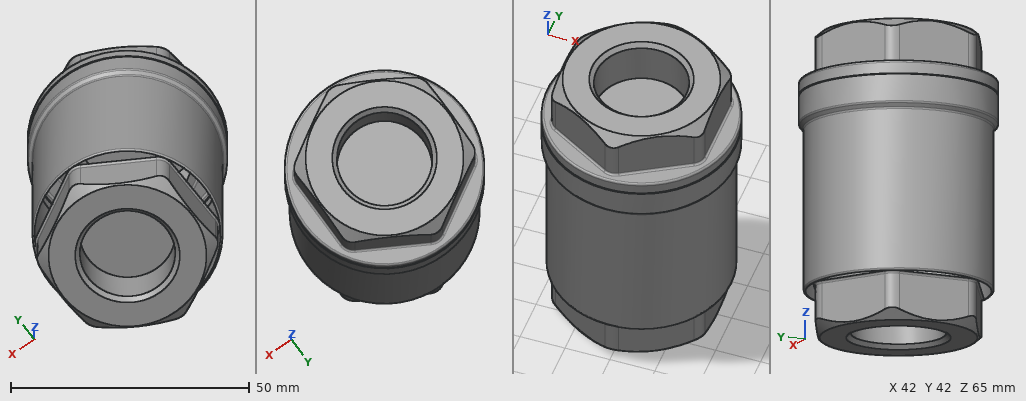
import cadquery as cq
import math

total_height = 65.0
hex_length = 10.0
collar_top = total_height - hex_length

body_radius = 40.0 / 2
collar_radius = 42.0 / 2
collar_taper_top = 46.0
taper_blend = 0.6
edge_radius = 0.45
seam_height = 52.05
seam_width = 0.1
seam_depth = 0.1

hex_across_flats = 33.8
hex_corner_radius = 3.0
hex_root_fillet = 0.45
hex_face_diameter = 33.15
hex_chamfer_angle = 41.0

port_diameter = 20.0
port_depth = 10.0
port_chamfer = 1.0


def make_housing():
    """Turned body with a wider collar, joined by a blended 45 degree taper."""
    half_turn = math.radians(45) / 2
    taper_bottom = collar_taper_top - (collar_radius - body_radius)
    blend_tangent = taper_blend * math.tan(half_turn)
    blend_diagonal = blend_tangent * math.sqrt(0.5)
    arc_middle_inset = taper_blend * (1 - math.cos(half_turn))
    arc_middle_drop = taper_blend * math.sin(half_turn)
    lower_arc_start = taper_bottom - blend_tangent
    upper_arc_end = collar_taper_top + blend_tangent

    profile = (
        cq.Workplane("XZ")
        .moveTo(0, hex_length)
        .lineTo(body_radius, hex_length)
        .lineTo(body_radius, lower_arc_start)
        .threePointArc(
            (body_radius + arc_middle_inset, lower_arc_start + arc_middle_drop),
            (body_radius + blend_diagonal, taper_bottom + blend_diagonal),
        )
        .lineTo(collar_radius - blend_diagonal, collar_taper_top - blend_diagonal)
        .threePointArc(
            (collar_radius - arc_middle_inset, upper_arc_end - arc_middle_drop),
            (collar_radius, upper_arc_end),
        )
        .lineTo(collar_radius, collar_top)
        .lineTo(0, collar_top)
        .close()
    )
    housing = profile.revolve(360, (0, 0, 0), (0, 1, 0))
    return housing.faces("<Z or >Z").edges().fillet(edge_radius)


def cut_seam(housing):
    """Fine groove around the collar where the cap meets the body."""
    groove = (
        cq.Workplane("XY", origin=(0, 0, seam_height - seam_width / 2))
        .circle(collar_radius + seam_depth)
        .circle(collar_radius - seam_depth)
        .extrude(seam_width)
    )
    return housing.cut(groove)


def make_hex_prism():
    """Full-height hexagon with rounded corners, two of them on the Y axis."""
    half_side_angle = 180 / 6
    across_corners = hex_across_flats / math.cos(math.radians(half_side_angle))
    return (
        cq.Workplane("XY")
        .polygon(6, across_corners)
        .extrude(total_height)
        .rotate((0, 0, 0), (0, 0, 1), half_side_angle)
        .edges("|Z")
        .fillet(hex_corner_radius)
    )


def chamfer_envelope():
    """Double cone that trims the hexagon corners at both end faces."""
    face_radius = hex_face_diameter / 2
    middle_height = total_height / 2
    cone_run = middle_height / math.tan(math.radians(hex_chamfer_angle))
    return (
        cq.Workplane("XZ")
        .polyline([
            (0, 0),
            (face_radius, 0),
            (face_radius + cone_run, middle_height),
            (face_radius, total_height),
            (0, total_height),
        ])
        .close()
        .revolve(360, (0, 0, 0), (0, 1, 0))
    )


def fillet_hex_roots(part):
    """Blend each hexagon into the shoulder face that surrounds it."""
    root_edges = [
        edge
        for face in part.faces("|Z").vals()
        for outline in face.innerWires()
        for edge in outline.Edges()
    ]
    return part.newObject(root_edges).fillet(hex_root_fillet)


def make_port():
    """Blind bore with a countersunk mouth, opening at the top face."""
    radius = port_diameter / 2
    floor = total_height - port_depth
    return (
        cq.Workplane("XZ")
        .polyline([
            (0, floor),
            (radius, floor),
            (radius, total_height - port_chamfer),
            (radius + port_chamfer, total_height),
            (0, total_height),
        ])
        .close()
        .revolve(360, (0, 0, 0), (0, 1, 0))
    )


hex_ends = make_hex_prism().intersect(chamfer_envelope())
top_port = make_port()
bottom_port = top_port.mirror("XY").translate((0, 0, total_height))

result = fillet_hex_roots(make_housing().union(hex_ends))
result = cut_seam(result)
result = result.cut(top_port).cut(bottom_port)